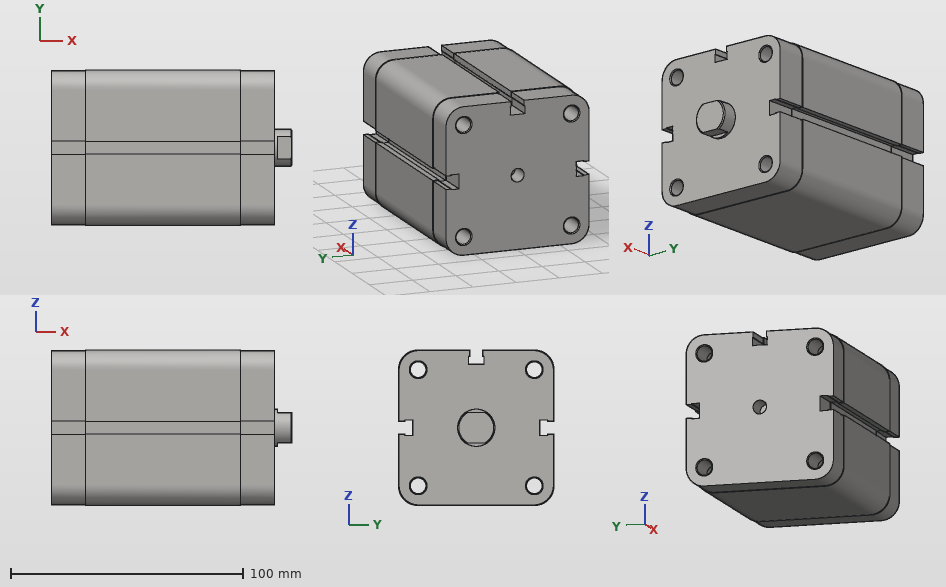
import cadquery as cq

TOTAL_LENGTH = 103.5
REAR_CAP_LENGTH = 14.7
TUBE_LENGTH = 66.5
FRONT_CAP_LENGTH = 14.8
ROD_PROJECTION = TOTAL_LENGTH - REAR_CAP_LENGTH - TUBE_LENGTH - FRONT_CAP_LENGTH

TUBE_WIDTH = 67.0
CAP_INSET = 0.3
BOLT_SPACING = 50.0

SLOT_MOUTH_WIDTH = 5.4
SLOT_HEAD_WIDTH = 6.6
SLOT_LIP_DEPTH = 2.8
SLOT_DEPTH = 6.0
SLOT_ANGLES = (0, 90, -90)

BOLT_HOLE_DIAMETER = 6.7
BOLT_HOLE_CHAMFER = 0.47
CENTRE_HOLE_DIAMETER = 6.0
CENTRE_HOLE_DEPTH = 10.4

ROD_DIAMETER = 16.0
ROD_TIP_CHAMFER = 0.5
FLAT_SPACING = 12.9
FLAT_LENGTH = 6.2


def on_yz(x):
    """Workplane facing +X at the given x, with local x along Y and local y along Z."""
    return cq.Workplane("YZ", origin=(x, 0, 0))


def slot_cutter(x_start, length, inset):
    """T-slot opening upward in a profile that stands `inset` inside the tube."""
    top = TUBE_WIDTH / 2
    mouth_width = SLOT_MOUTH_WIDTH + 2 * inset
    head_depth = SLOT_DEPTH + inset - SLOT_LIP_DEPTH
    head_middle = top - SLOT_LIP_DEPTH - head_depth / 2
    mouth = on_yz(x_start).center(0, top - SLOT_LIP_DEPTH / 2).rect(mouth_width, SLOT_LIP_DEPTH)
    head = on_yz(x_start).center(0, head_middle).rect(SLOT_HEAD_WIDTH, head_depth)
    return mouth.extrude(length).union(head.extrude(length))


def slotted_block(x_start, length, inset):
    """Rounded square bar along X with three T-slots and four bolt holes."""
    width = TUBE_WIDTH - 2 * inset
    corner_radius = (width - BOLT_SPACING) / 2
    block = on_yz(x_start).rect(width, width).extrude(length).edges("|X").fillet(corner_radius)
    for angle in SLOT_ANGLES:
        block = block.cut(slot_cutter(x_start, length, inset).rotate((0, 0, 0), (1, 0, 0), angle))
    holes = (
        on_yz(x_start)
        .rect(BOLT_SPACING, BOLT_SPACING, forConstruction=True)
        .vertices()
        .circle(BOLT_HOLE_DIAMETER / 2)
        .extrude(length)
    )
    return block.cut(holes)


def make_cap(x_start, length, outer_face):
    """End cap with the bolt holes chamfered on its outer face."""
    cap = slotted_block(x_start, length, CAP_INSET)
    bolt_hole_rims = cap.faces(outer_face).edges(cq.selectors.RadiusNthSelector(0))
    return bolt_hole_rims.chamfer(BOLT_HOLE_CHAMFER)


def make_rear_cap():
    """Rear cap with a blind hole in the middle of its outer face."""
    cap = make_cap(0, REAR_CAP_LENGTH, "<X")
    return cap.cut(on_yz(0).circle(CENTRE_HOLE_DIAMETER / 2).extrude(CENTRE_HOLE_DEPTH))


def make_rod():
    """Rod end with a chamfered tip and two wrench flats facing up and down."""
    x_start = TOTAL_LENGTH - ROD_PROJECTION
    rod = on_yz(x_start).circle(ROD_DIAMETER / 2).extrude(ROD_PROJECTION)
    rod = rod.faces(">X").edges().chamfer(ROD_TIP_CHAMFER)
    flat_start = TOTAL_LENGTH - FLAT_LENGTH
    for side in (1, -1):
        flat = on_yz(flat_start).center(0, side * FLAT_SPACING).rect(ROD_DIAMETER, FLAT_SPACING)
        rod = rod.cut(flat.extrude(FLAT_LENGTH))
    return rod


rear_cap = make_rear_cap()
tube = slotted_block(REAR_CAP_LENGTH, TUBE_LENGTH, 0)
front_cap = make_cap(REAR_CAP_LENGTH + TUBE_LENGTH, FRONT_CAP_LENGTH, ">X")
rod = make_rod()

result = cq.Compound.makeCompound([rear_cap.val(), tube.val(), front_cap.val(), rod.val()])